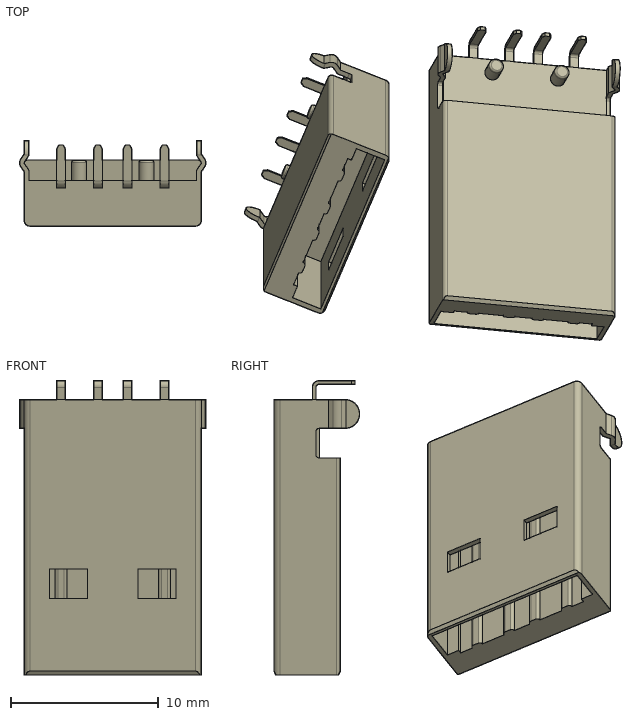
import cadquery as cq
import math

SHELL_WIDTH = 12.0
SHELL_DEPTH = 4.5
SHELL_HEIGHT = 18.65
SHEET = 0.33
FRONT_RADIUS = 0.4
BACK_RADIUS = 0.28
MOUTH_CHAMFER_HEIGHT = 0.27
MOUTH_CHAMFER_DEPTH = 0.135

EAR_HEIGHT = 1.95
NOTCH_HEIGHT = 2.0
NOTCH_Y = 2.85
NOTCH_RADIUS = 0.2
BLOCK_BACK_Y = 3.1

EAR_TIP_Y = 5.8
KINK_Y = 4.29
KINK_HALF_LENGTH = 0.605
KINK_HEIGHT = 0.305
KINK_ANGLE = math.radians(34)

WINDOW_WIDTH = 2.56
WINDOW_HEIGHT = 1.97
WINDOW_X = 3.0
WINDOW_BOTTOM = 5.2

CAVITY_HEIGHT = 11.75
SHOULDER_Y = 2.4
TONGUE_Y = 2.68
TONGUE_WIDTH = 9.6

CONTACT_XS = (-3.5, -1.0, 1.0, 3.5)
CONTACT_WIDTH = 0.8
CONTACT_RISE = 0.2
PIN_WIDTH = 0.6
PIN_THICKNESS = 0.25
PIN_FRONT_Y = 2.6
PIN_TIP_Y = 5.5
PIN_RISE = 1.28
PIN_BEND_RADIUS = 0.45
PIN_TIP_WIDTH = 0.3
PIN_TAPER_LENGTH = 0.26
PIN_ROOT = 0.5

PEG_X = 2.28
PEG_DIAMETER = 1.0
PEG_DROP = 1.0
PEG_END_Y = 4.45
PEG_END_FILLET = 0.13

HALF_WIDTH = SHELL_WIDTH / 2
INNER_WIDTH = SHELL_WIDTH - 2 * SHEET
EAR_BOTTOM = SHELL_HEIGHT - EAR_HEIGHT
LEDGE_Z = EAR_BOTTOM - NOTCH_HEIGHT


def box(x_range, y_range, z_range):
    """Axis-aligned box between pairs of limits."""
    (x0, x1), (y0, y1), (z0, z1) = x_range, y_range, z_range
    return cq.Workplane("XY").box(x1 - x0, y1 - y0, z1 - z0, centered=False).translate((x0, y0, z0))


def centered_box(width, y_range, z_range):
    """Box symmetric about the YZ plane."""
    return box((-width / 2, width / 2), y_range, z_range)


def make_body():
    """Outer block with rounded upright edges and chamfered mouth."""
    body = centered_box(SHELL_WIDTH, (0, SHELL_DEPTH), (0, SHELL_HEIGHT))
    body = body.edges("|Z and <Y").fillet(FRONT_RADIUS)
    body = body.edges("|Z and >Y").fillet(BACK_RADIUS)
    for y, inward in ((0, 1), (SHELL_DEPTH, -1)):
        wedge = (
            cq.Workplane("YZ")
            .polyline([(y, 0), (y + inward * MOUTH_CHAMFER_DEPTH, 0), (y, MOUTH_CHAMFER_HEIGHT)])
            .close()
            .extrude(HALF_WIDTH, both=True)
        )
        body = body.cut(wedge)
    return body


def cut_back_step(body):
    """Open the upper back down to the ledge, and notch the side sheet below the ears."""
    body = body.cut(centered_box(SHELL_WIDTH, (BLOCK_BACK_Y, SHELL_DEPTH), (LEDGE_Z, SHELL_HEIGHT)))
    notch = centered_box(SHELL_WIDTH, (NOTCH_Y, SHELL_DEPTH), (LEDGE_Z, EAR_BOTTOM))
    notch = notch.edges("|X and <Y").fillet(NOTCH_RADIUS)
    notch = notch.cut(centered_box(INNER_WIDTH, (0, SHELL_DEPTH), (0, SHELL_HEIGHT)))
    return body.cut(notch)


def make_ear():
    """Ear on the +X side: kinked strip seen from above, trimmed to a round tip seen from the side."""
    sin_a, cos_a, tan_a = math.sin(KINK_ANGLE), math.cos(KINK_ANGLE), math.tan(KINK_ANGLE)
    crest_x = HALF_WIDTH + KINK_HEIGHT
    outer_radius = (KINK_HALF_LENGTH * tan_a - KINK_HEIGHT) / (1 / cos_a - 1)
    inner_radius = outer_radius - SHEET
    center_x = crest_x - outer_radius
    inner_x = HALF_WIDTH - SHEET
    inner_half_length = (inner_radius / cos_a + center_x - inner_x) / tan_a

    def flank_end(radius, side):
        return (center_x + radius * cos_a, KINK_Y + side * radius * sin_a)

    strip = (
        cq.Workplane("XY")
        .workplane(offset=EAR_BOTTOM)
        .moveTo(inner_x, NOTCH_Y)
        .lineTo(HALF_WIDTH, NOTCH_Y)
        .lineTo(HALF_WIDTH, KINK_Y - KINK_HALF_LENGTH)
        .lineTo(*flank_end(outer_radius, -1))
        .threePointArc((crest_x, KINK_Y), flank_end(outer_radius, 1))
        .lineTo(HALF_WIDTH, KINK_Y + KINK_HALF_LENGTH)
        .lineTo(HALF_WIDTH, EAR_TIP_Y)
        .lineTo(inner_x, EAR_TIP_Y)
        .lineTo(inner_x, KINK_Y + inner_half_length)
        .lineTo(*flank_end(inner_radius, 1))
        .threePointArc((center_x + inner_radius, KINK_Y), flank_end(inner_radius, -1))
        .lineTo(inner_x, KINK_Y - inner_half_length)
        .close()
        .extrude(EAR_HEIGHT)
    )
    tip_radius = EAR_HEIGHT / 2
    side_outline = (
        cq.Workplane("YZ")
        .moveTo(0, EAR_BOTTOM)
        .lineTo(EAR_TIP_Y - tip_radius, EAR_BOTTOM)
        .threePointArc((EAR_TIP_Y, EAR_BOTTOM + tip_radius), (EAR_TIP_Y - tip_radius, SHELL_HEIGHT))
        .lineTo(0, SHELL_HEIGHT)
        .close()
        .extrude(SHELL_WIDTH)
    )
    return strip.intersect(side_outline)


def make_cavity():
    """Mouth cavity: open down to the shoulders, deeper over the tongue."""
    cavity = centered_box(INNER_WIDTH, (SHEET, SHOULDER_Y), (0, CAVITY_HEIGHT))
    return cavity.union(centered_box(TONGUE_WIDTH, (SHEET, TONGUE_Y), (0, CAVITY_HEIGHT)))


def make_window(x):
    """Opening through the front sheet, centered on x."""
    return box(
        (x - WINDOW_WIDTH / 2, x + WINDOW_WIDTH / 2),
        (0, SHEET),
        (WINDOW_BOTTOM, WINDOW_BOTTOM + WINDOW_HEIGHT),
    )


def make_contact(x):
    """Round-shouldered contact strip lying on the tongue."""
    half = CONTACT_WIDTH / 2
    top_y = TONGUE_Y - CONTACT_RISE
    half_flat = half - CONTACT_RISE
    return (
        cq.Workplane("XY")
        .moveTo(x - half, TONGUE_Y)
        .radiusArc((x - half_flat, top_y), -CONTACT_RISE)
        .lineTo(x + half_flat, top_y)
        .radiusArc((x + half, TONGUE_Y), -CONTACT_RISE)
        .close()
        .extrude(CAVITY_HEIGHT)
    )


def make_pin(x):
    """Solder pin: rises from the top face, then bends back to a tapered tip."""
    top = SHELL_HEIGHT + PIN_RISE
    back_y = PIN_FRONT_Y + PIN_THICKNESS
    under_z = top - PIN_THICKNESS
    root_z = SHELL_HEIGHT - PIN_ROOT
    inner_radius = PIN_BEND_RADIUS - PIN_THICKNESS
    pin = (
        cq.Workplane("YZ")
        .moveTo(PIN_FRONT_Y, root_z)
        .lineTo(PIN_FRONT_Y, top - PIN_BEND_RADIUS)
        .radiusArc((PIN_FRONT_Y + PIN_BEND_RADIUS, top), PIN_BEND_RADIUS)
        .lineTo(PIN_TIP_Y, top)
        .lineTo(PIN_TIP_Y, under_z)
        .lineTo(back_y + inner_radius, under_z)
        .radiusArc((back_y, under_z - inner_radius), -inner_radius)
        .lineTo(back_y, root_z)
        .close()
        .extrude(PIN_WIDTH / 2, both=True)
    )
    half = PIN_WIDTH / 2
    half_tip = PIN_TIP_WIDTH / 2
    taper_y = PIN_TIP_Y - PIN_TAPER_LENGTH
    plan_outline = (
        cq.Workplane("XY")
        .moveTo(-half, 0)
        .lineTo(half, 0)
        .lineTo(half, taper_y)
        .lineTo(half_tip, PIN_TIP_Y)
        .lineTo(-half_tip, PIN_TIP_Y)
        .lineTo(-half, taper_y)
        .close()
        .extrude(top)
    )
    return pin.intersect(plan_outline).translate((x, 0, 0))


def make_peg(x):
    """Locating peg standing out of the back of the block."""
    peg = cq.Workplane("XZ").circle(PEG_DIAMETER / 2).extrude(BLOCK_BACK_Y - PEG_END_Y)
    peg = peg.faces(">Y").edges().fillet(PEG_END_FILLET)
    return peg.translate((x, BLOCK_BACK_Y, SHELL_HEIGHT - PEG_DROP))


result = cut_back_step(make_body()).cut(make_cavity())

ear = make_ear()
result = result.union(ear).union(ear.mirror("YZ"))

for side in (-1, 1):
    result = result.cut(make_window(side * WINDOW_X))
    result = result.union(make_peg(side * PEG_X))

for contact_x in CONTACT_XS:
    result = result.union(make_contact(contact_x))
    result = result.union(make_pin(contact_x))